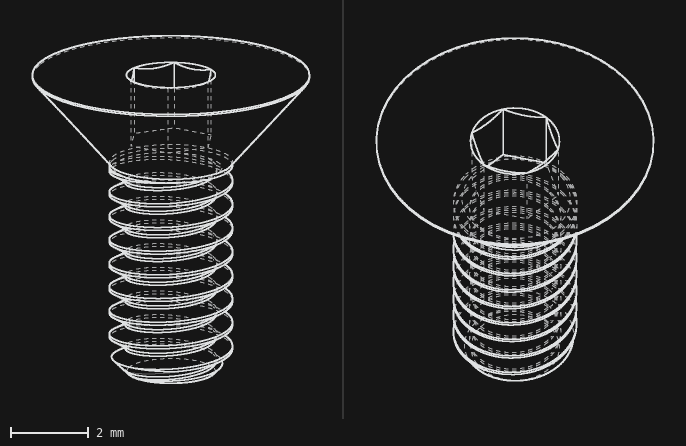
import cadquery as cq
import math

INCH = 25.4

overall_length = 5 / 16 * INCH
head_diameter = 0.281 * INCH
head_angle = 82.0
head_rim = 0.05
shoulder_end_depth = 2.43

major_diameter = 0.125 * INCH
pitch = INCH / 40
thread_angle = 60.0
crest_flat = pitch / 8
root_flat = pitch / 8
crest_depth = 2.97
tip_diameter = 2.276

socket_across_flats = 5 / 64 * INCH
socket_depth = 1.75
socket_chamfer_angle = 30.0

head_radius = head_diameter / 2
major_radius = major_diameter / 2
tip_radius = tip_diameter / 2
tip_chamfer = major_radius - tip_radius
half_thread_tan = math.tan(math.radians(thread_angle / 2))
thread_depth = (pitch - crest_flat - root_flat) / 2 / half_thread_tan
root_radius = major_radius - thread_depth
cone_height = (head_radius - major_radius) / math.tan(math.radians(head_angle / 2))
cone_end_depth = head_rim + cone_height
socket_corner_diameter = socket_across_flats / math.cos(math.radians(30))


def make_head():
    """Countersunk head with its rim and the plain shoulder below the cone."""
    return (
        cq.Workplane("XZ")
        .moveTo(0, 0)
        .lineTo(head_radius, 0)
        .lineTo(head_radius, -head_rim)
        .lineTo(major_radius, -cone_end_depth)
        .lineTo(major_radius, -shoulder_end_depth)
        .lineTo(0, -shoulder_end_depth)
        .close()
        .revolve(360, (0, 0), (0, 1))
    )


def make_thread():
    """Right-hand helical ridge on a core of root diameter, longer than the shank at both ends."""
    root_overlap = 0.05
    inner_radius = root_radius - root_overlap
    crest_half = crest_flat / 2
    base_half = crest_half + (major_radius - inner_radius) * half_thread_tan
    turns_below = math.ceil((overall_length - crest_depth) / pitch) + 1
    turns_above = 2
    turns = turns_below + turns_above
    start_z = -crest_depth - turns_below * pitch
    helix = cq.Wire.makeHelix(pitch, turns * pitch, inner_radius, center=cq.Vector(0, 0, start_z))
    ridge = (
        cq.Workplane("XZ")
        .moveTo(inner_radius, start_z + base_half)
        .lineTo(major_radius, start_z + crest_half)
        .lineTo(major_radius, start_z - crest_half)
        .lineTo(inner_radius, start_z - base_half)
        .close()
        .sweep(cq.Workplane(obj=helix), isFrenet=True)
    )
    core_start_z = start_z - pitch
    core = cq.Workplane("XY", origin=(0, 0, core_start_z)).circle(root_radius).extrude(-core_start_z)
    return core.union(ridge)


def make_shank_envelope():
    """Bounds of the threaded shank: shoulder plane, end face and tip chamfer cone."""
    clearance = 0.2
    return (
        cq.Workplane("XY", origin=(0, 0, -overall_length))
        .circle(major_radius + clearance)
        .extrude(overall_length - shoulder_end_depth)
        .faces("<Z")
        .chamfer(tip_chamfer + clearance)
    )


def make_socket():
    """Hex pocket, corners on +Y and -Y, with a conical entry chamfer."""
    hexagon = (
        cq.Workplane("XY")
        .transformed(rotate=(0, 0, 90))
        .polygon(6, socket_corner_diameter)
        .extrude(-socket_depth)
    )
    corner_radius = socket_corner_diameter / 2
    cone_depth = corner_radius * math.tan(math.radians(socket_chamfer_angle))
    entry_cone = cq.Solid.makeCone(corner_radius, 0, cone_depth, dir=cq.Vector(0, 0, -1))
    return hexagon.union(cq.Workplane(obj=entry_cone))


threaded_shank = make_thread().intersect(make_shank_envelope())
result = make_head().union(threaded_shank).cut(make_socket())